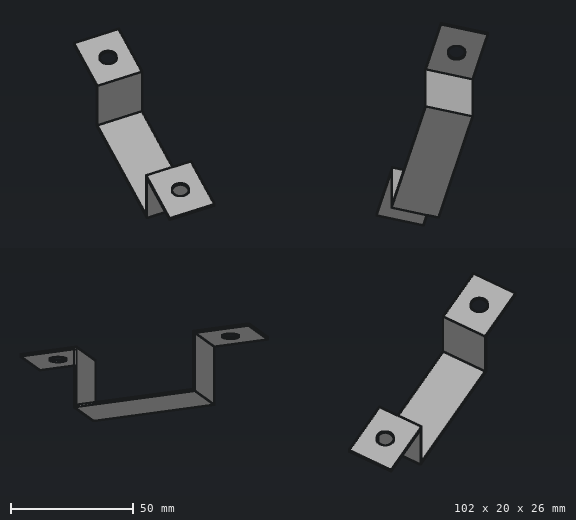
import cadquery as cq

length = 102.0
width = 20.0
height = 26.0
thickness = 1.0
channel_width = 52.0
hole_diameter = 7.0

half_length = length / 2
wall_inside = channel_width / 2
wall_outside = wall_inside + thickness
flange_length = half_length - wall_inside
hole_offset = half_length - flange_length / 2


def make_strip():
    """Constant-thickness hat profile, extruded across the width."""
    right_half = [
        (wall_outside, 0),
        (wall_outside, height - thickness),
        (half_length, height - thickness),
        (half_length, height),
        (wall_inside, height),
        (wall_inside, thickness),
    ]
    left_half = [(-x, z) for x, z in reversed(right_half)]
    profile = cq.Workplane("XZ").polyline(right_half + left_half).close()
    return profile.extrude(width / 2, both=True)


def make_flange_holes():
    """Vertical cutters for the mounting hole in each flange."""
    return (
        cq.Workplane("XY")
        .workplane(offset=height - 2 * thickness)
        .pushPoints([(-hole_offset, 0), (hole_offset, 0)])
        .circle(hole_diameter / 2)
        .extrude(3 * thickness)
    )


result = make_strip().cut(make_flange_holes())